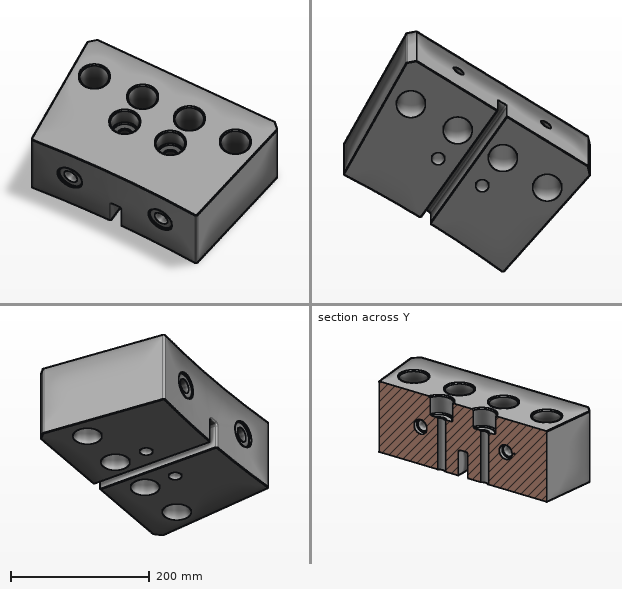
import cadquery as cq
import math

WIDTH = 318.7
DEPTH = 207.2
HEIGHT = 113.0
SIDE_ANGLE = 6.0
CORNER_ANGLE = 45.0
BACK_CORNER = 10.5
FRONT_HOLLOW = 5.5
VERTICAL_EDGE_RADIUS = 3.2
EDGE_BREAK = 1.0

BORE_DIAMETER = 42.0
BORE_CHAMFER = 2.0
INNER_BORE_X = 39.2
INNER_BORE_FROM_BACK = 57.7
OUTER_BORE_X = 118.2
OUTER_BORE_FROM_BACK = 61.0

BOLT_X = 38.2
BOLT_FROM_BACK = 110.3
BOLT_DIAMETER = 19.0
BOLT_RIM_DIAMETER = 22.0
SEAT_DEPTH = 30.0
SEAT_FLOOR_CHAMFER = 2.0

CROSS_X = 76.0
CROSS_Z = 60.0
CROSS_DIAMETER = 17.5
CROSS_ENTRY_DIAMETER = 22.0
CROSS_ENTRY_LENGTH = DEPTH / 2
RECESS_DIAMETER = 37.5
RECESS_DEPTH = 2.5
RECESS_CHAMFER = 1.5

SLOT_WIDTH = 16.0
SLOT_HEIGHT = 41.0
SLOT_CORNER_RADIUS = 3.0
SLOT_MOUTH_RADIUS = 3.0

BACK_Y = DEPTH / 2
FRONT_Y = -DEPTH / 2
HOLLOW_Y = FRONT_Y + FRONT_HOLLOW

SIDE_SLOPE = math.radians(SIDE_ANGLE)
ROUNDING_LENGTH = VERTICAL_EDGE_RADIUS * math.tan(math.radians(CORNER_ANGLE + SIDE_ANGLE) / 2)
ROUNDING_TRIM = ROUNDING_LENGTH * math.sin(SIDE_SLOPE) - VERTICAL_EDGE_RADIUS * (1 - math.cos(SIDE_SLOPE))
HALF_BACK = WIDTH / 2 + ROUNDING_TRIM
HALF_FRONT = HALF_BACK - (DEPTH - BACK_CORNER) * math.tan(SIDE_SLOPE)


def block():
    corner_x = HALF_BACK - BACK_CORNER * math.tan(math.radians(CORNER_ANGLE))
    corner_y = BACK_Y - BACK_CORNER
    body = (
        cq.Workplane("XY")
        .moveTo(-HALF_FRONT, FRONT_Y)
        .threePointArc((0, HOLLOW_Y), (HALF_FRONT, FRONT_Y))
        .lineTo(HALF_BACK, corner_y)
        .lineTo(corner_x, BACK_Y)
        .lineTo(-corner_x, BACK_Y)
        .lineTo(-HALF_BACK, corner_y)
        .close()
        .extrude(HEIGHT)
    )
    return body.edges("|Z").edges("not >Y").fillet(VERTICAL_EDGE_RADIUS)


def slotted(body):
    slot = (
        cq.Workplane("XY")
        .box(SLOT_WIDTH, 2 * DEPTH, SLOT_HEIGHT, centered=(True, True, False))
        .edges("|Y and >Z")
        .fillet(SLOT_CORNER_RADIUS)
    )
    body = body.cut(slot)
    mouth_top = cq.selectors.NearestToPointSelector((0, HOLLOW_Y, SLOT_HEIGHT))
    return body.edges(mouth_top).fillet(SLOT_MOUTH_RADIUS)


def with_broken_edges(body):
    return body.faces("<Z or >Z").edges().chamfer(EDGE_BREAK)


def turned(profile):
    """Solid of revolution about Z; the profile lists (radius, z) from the axis back to the axis."""
    return (
        cq.Workplane("XZ")
        .polyline(profile)
        .close()
        .revolve(360, (0, 0, 0), (0, 1, 0))
    )


def bore_tool():
    radius = BORE_DIAMETER / 2
    return turned([
        (0, 0),
        (radius, 0),
        (radius, HEIGHT - BORE_CHAMFER),
        (radius + BORE_CHAMFER, HEIGHT),
        (0, HEIGHT),
    ])


def bolt_tool():
    seat_radius = BORE_DIAMETER / 2
    hole_radius = BOLT_DIAMETER / 2
    rim_radius = BOLT_RIM_DIAMETER / 2
    floor_z = HEIGHT - SEAT_DEPTH
    return turned([
        (0, 0),
        (hole_radius, 0),
        (hole_radius, floor_z - (rim_radius - hole_radius)),
        (rim_radius, floor_z),
        (seat_radius - SEAT_FLOOR_CHAMFER, floor_z),
        (seat_radius, floor_z + SEAT_FLOOR_CHAMFER),
        (seat_radius, HEIGHT - BORE_CHAMFER),
        (seat_radius + BORE_CHAMFER, HEIGHT),
        (0, HEIGHT),
    ])


def cross_tool():
    """Stepped hole along +Y whose recess floor lies at y = 0."""
    hole_radius = CROSS_DIAMETER / 2
    entry_radius = CROSS_ENTRY_DIAMETER / 2
    recess_radius = RECESS_DIAMETER / 2
    clearance = 2 * RECESS_DEPTH
    tool = turned([
        (0, -DEPTH),
        (hole_radius, -DEPTH),
        (hole_radius, -CROSS_ENTRY_LENGTH),
        (entry_radius, -CROSS_ENTRY_LENGTH),
        (entry_radius, 0),
        (recess_radius, 0),
        (recess_radius, clearance),
        (0, clearance),
    ])
    return tool.rotate((0, 0, 0), (1, 0, 0), 90)


def front_surface_y(x):
    """Y of the hollow front face at a given x."""
    arc_radius = (HALF_FRONT ** 2 + FRONT_HOLLOW ** 2) / (2 * FRONT_HOLLOW)
    return HOLLOW_Y - arc_radius + math.sqrt(arc_radius ** 2 - x ** 2)


def with_cross_hole(body, x):
    surface_y = front_surface_y(x)
    body = body.cut(cross_tool().translate((x, surface_y + RECESS_DEPTH, CROSS_Z)))
    rim = cq.selectors.NearestToPointSelector((x, surface_y, CROSS_Z))
    return body.edges(rim).chamfer(RECESS_CHAMFER)


result = with_broken_edges(slotted(block()))
for side in (-1, 1):
    result = result.cut(bore_tool().translate((side * INNER_BORE_X, BACK_Y - INNER_BORE_FROM_BACK, 0)))
    result = result.cut(bore_tool().translate((side * OUTER_BORE_X, BACK_Y - OUTER_BORE_FROM_BACK, 0)))
    result = result.cut(bolt_tool().translate((side * BOLT_X, BACK_Y - BOLT_FROM_BACK, 0)))
    result = with_cross_hole(result, side * CROSS_X)